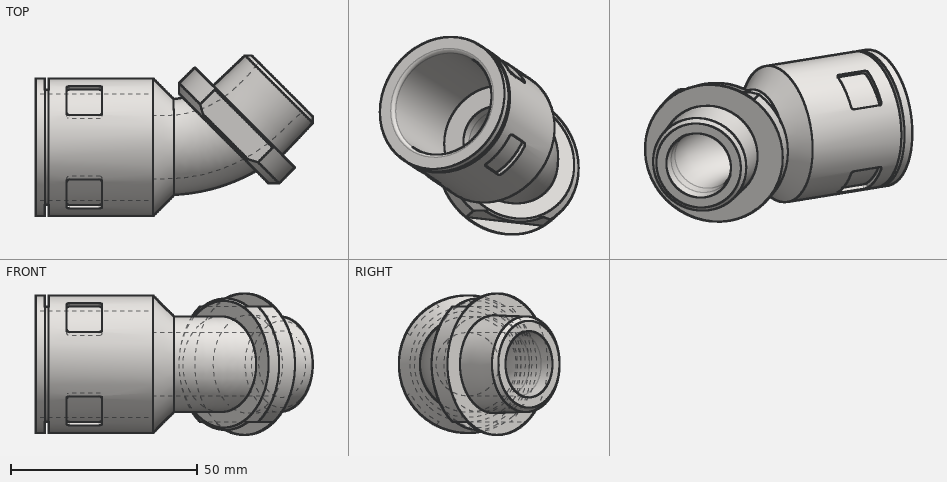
import cadquery as cq
import math

body_diameter = 37.0
collar_length = 2.5
groove_width = 1.0
groove_diameter = 30.95
shoulder_x = 31.45
socket_diameter = 28.5
socket_depth = shoulder_x
socket_mouth_radius = 1.0

neck_diameter = 25.7
bore_diameter = 17.0
bend_radius = 36.0
bend_angle = 45.0
bend_start_x = 34.75
neck_sweep_angle = 33.0

window_start_x = 8.3
window_length = 9.5
window_width = 11.0
window_corner_radius = 0.8
window_floor_diameter = 34.5
window_angles = (45, 135, 225, 315)

flange_diameter = 38.0
flange_thickness = 8.0
flange_chamfer = 2.0
flange_back = -4.7
flange_offset = 1.1
flange_across_flats = 31.0
flange_front_lip = 0.65
flange_full_rim = 0.4
spigot_end = 8.32
spigot_base_diameter = 26.3
spigot_tip_diameter = 25.7
spigot_chamfer = 1.2
bore_flare_length = 3.85
bore_mouth_diameter = 17.8

body_radius = body_diameter / 2
neck_radius = neck_diameter / 2
bore_radius = bore_diameter / 2
taper_end_x = shoulder_x + body_radius - neck_radius
flange_front = flange_back - flange_thickness
bend_radians = math.radians(bend_angle)
bend_end = (
    bend_start_x + bend_radius * math.sin(bend_radians),
    bend_radius * (1 - math.cos(bend_radians)),
    0,
)


def turned(outline):
    """Revolve a closed (axial, radius) outline about the X axis."""
    return cq.Workplane("XY").polyline(outline).close().revolve(360, (0, 0, 0), (1, 0, 0))


def rod(start_x, end_x, diameter):
    """Round bar along the X axis."""
    return cq.Workplane("YZ", origin=(start_x, 0, 0)).circle(diameter / 2).extrude(end_x - start_x)


def bent_rod(diameter, angle):
    """Round bar that leaves the body along +X and curves towards +Y."""
    section = cq.Workplane("YZ", origin=(bend_start_x, 0, 0)).circle(diameter / 2)
    return section.revolve(angle, (bend_radius, 0, 0), (bend_radius, 1, 0))


def on_outlet(shape):
    """Move a shape built along the X axis onto the outlet axis at the end of the bend."""
    return shape.rotate((0, 0, 0), (0, 0, 1), bend_angle).translate(bend_end)


def make_body():
    groove_end_x = collar_length + groove_width
    groove_radius = groove_diameter / 2
    return turned([
        (0, 0),
        (0, body_radius),
        (collar_length, body_radius),
        (collar_length, groove_radius),
        (groove_end_x, groove_radius),
        (groove_end_x, body_radius),
        (shoulder_x, body_radius),
        (taper_end_x, neck_radius),
        (taper_end_x, 0),
    ])


def make_socket():
    """Blind round socket with a rounded mouth, as a cutting tool."""
    socket_radius = socket_diameter / 2
    mouth_bend = socket_mouth_radius * (1 - math.sqrt(0.5))
    return (
        cq.Workplane("XY")
        .lineTo(0, socket_radius + socket_mouth_radius)
        .threePointArc(
            (mouth_bend, socket_radius + mouth_bend),
            (socket_mouth_radius, socket_radius),
        )
        .lineTo(socket_depth, socket_radius)
        .lineTo(socket_depth, 0)
        .close()
        .revolve(360, (0, 0, 0), (1, 0, 0))
    )


def make_window(angle):
    """Rounded rectangular pocket with a cylindrical floor, as a cutting tool."""
    window_end_x = window_start_x + window_length
    block = (
        cq.Workplane("XY", origin=(window_start_x + window_length / 2, 0, 0))
        .rect(window_length, window_width)
        .extrude(body_diameter)
        .edges("|Z")
        .fillet(window_corner_radius)
    )
    floor = rod(window_start_x, window_end_x, window_floor_diameter)
    return block.cut(floor).rotate((0, 0, 0), (1, 0, 0), angle)


def make_flange():
    flange = rod(flange_front, flange_back, flange_diameter).faces("<X").chamfer(flange_chamfer)
    flat_start = flange_front + flange_front_lip
    flat_end = flange_back - flange_full_rim
    flat_middle = (flat_start + flat_end) / 2
    for side in (-1, 1):
        flat = cq.Workplane("XY", origin=(flat_middle, 0, side * flange_across_flats / 2))
        flat = flat.rect(flat_end - flat_start, flange_diameter).extrude(side * flange_diameter)
        flange = flange.cut(flat)
    return on_outlet(flange.translate((0, flange_offset, 0)))


def make_spigot():
    tip_radius = spigot_tip_diameter / 2
    return on_outlet(turned([
        (flange_back, 0),
        (flange_back, spigot_base_diameter / 2),
        (spigot_end - spigot_chamfer, tip_radius),
        (spigot_end, tip_radius - spigot_chamfer),
        (spigot_end, 0),
    ]))


def make_outlet_bore():
    """Straight bore that flares slightly towards the spigot mouth, as a cutting tool."""
    return on_outlet(turned([
        (0, 0),
        (0, bore_radius),
        (spigot_end - bore_flare_length, bore_radius),
        (spigot_end, bore_mouth_diameter / 2),
        (spigot_end, 0),
    ]))


result = make_body()
result = result.union(bent_rod(neck_diameter, neck_sweep_angle))
result = result.union(make_flange())
result = result.union(make_spigot())

result = result.cut(make_socket())
result = result.cut(rod(socket_depth, bend_start_x, bore_diameter))
result = result.cut(bent_rod(bore_diameter, bend_angle))
result = result.cut(make_outlet_bore())

for window_angle in window_angles:
    result = result.cut(make_window(window_angle))